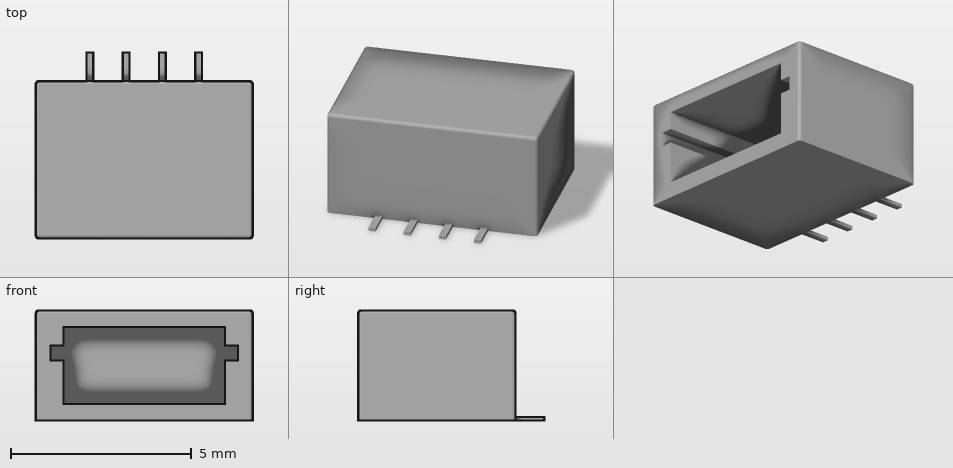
import cadquery as cq

body_width = 6.0
body_height = 3.05
body_depth = 4.35
edge_radius = 0.095

cavity_width = 4.475
cavity_height = 2.125
cavity_bottom = 0.455
cavity_depth = 3.6
slot_span = 5.17
slot_height = 0.41
slot_bottom = 1.66

lead_count = 4
lead_pitch = 1.0
lead_width = 0.2
lead_thickness = 0.1
lead_length = 0.8


def front_pocket(width, height, bottom):
    """Centred block reaching back from the front face, used as a cutter."""
    return (
        cq.Workplane("XY")
        .box(width, cavity_depth, height, centered=(True, False, False))
        .translate((0, 0, bottom))
    )


def lead(x):
    """Flat lead standing out behind the housing."""
    return (
        cq.Workplane("XY")
        .box(lead_width, lead_length, lead_thickness, centered=(True, False, False))
        .translate((x, body_depth, 0))
    )


housing = (
    cq.Workplane("XY")
    .box(body_width, body_depth, body_height, centered=(True, False, False))
    .edges("|Z or >Z")
    .fillet(edge_radius)
)

result = housing.cut(front_pocket(cavity_width, cavity_height, cavity_bottom))
result = result.cut(front_pocket(slot_span, slot_height, slot_bottom))

for index in range(lead_count):
    result = result.union(lead((index - (lead_count - 1) / 2) * lead_pitch))